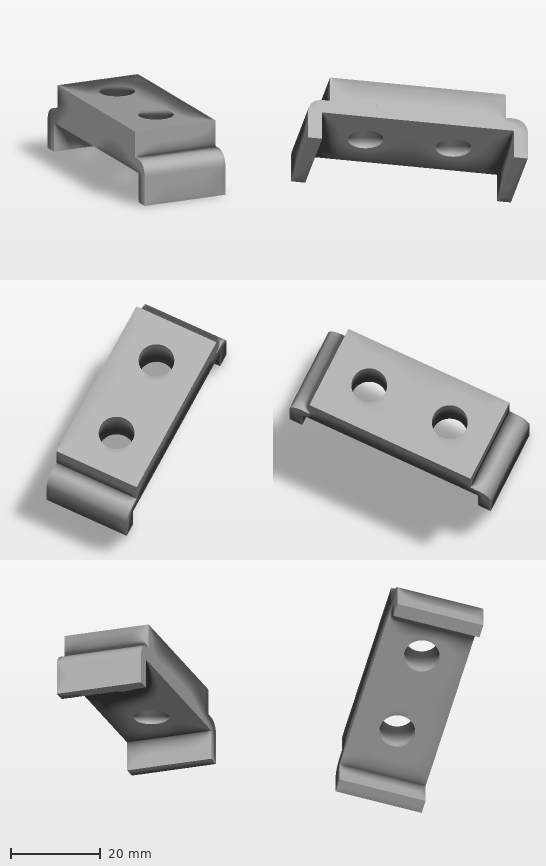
import cadquery as cq

bracket_length = 50.0
width = 20.0
bracket_height = 10.0
wall = 3.2
bend_radius = wall
block_length = 40.0
block_height = 6.0
hole_diameter = 8.0
hole_spacing = 20.0

hole_centers = [(-hole_spacing / 2, 0), (hole_spacing / 2, 0)]


def drill_holes(body):
    """Cut the two vertical through holes shared by the bracket and the block."""
    return body.faces(">Z").workplane(origin=(0, 0, 0)).pushPoints(hole_centers).hole(hole_diameter)


def make_bracket():
    """U-shaped bracket standing on Z = 0, with rounded outer and sharp inner corners."""
    outer = (
        cq.Workplane("XY")
        .box(bracket_length, width, bracket_height, centered=(True, True, False))
        .edges("|Y and >Z")
        .fillet(bend_radius)
    )
    channel = cq.Workplane("XY").box(
        bracket_length - 2 * wall, width, bracket_height - wall, centered=(True, True, False)
    )
    return drill_holes(outer.cut(channel))


def make_block():
    """Rectangular block resting on top of the bracket."""
    block = cq.Workplane("XY", origin=(0, 0, bracket_height)).box(
        block_length, width, block_height, centered=(True, True, False)
    )
    return drill_holes(block)


bracket = make_bracket()
block = make_block()

result = cq.Compound.makeCompound([bracket.solids().val(), block.solids().val()])